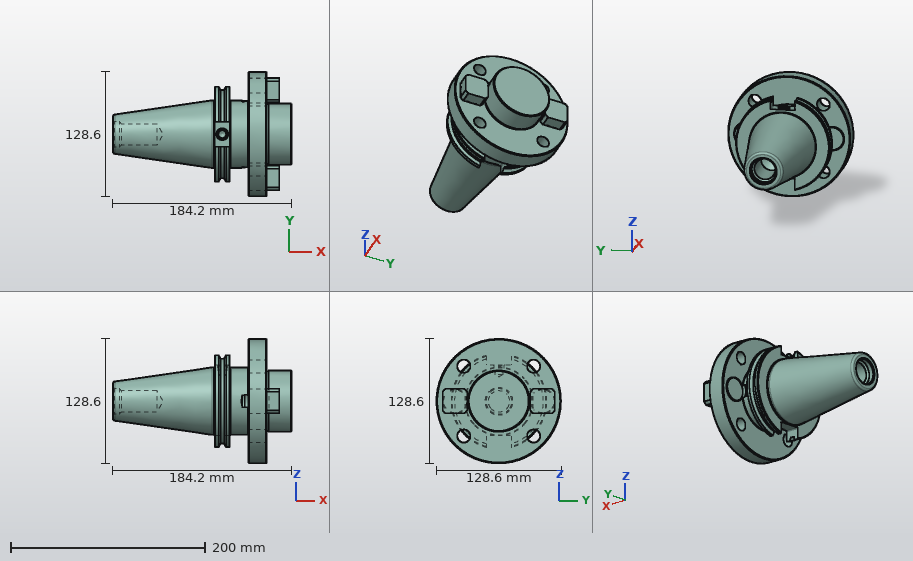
import cadquery as cq
import math


TAPER_LENGTH = 101.6
GAUGE_DIAMETER = 69.85
TAPER_RATIO = 7 / 24
COLLAR_START = TAPER_LENGTH + 3.175
COLLAR_END = TAPER_LENGTH + 19.05
FLANGE_START = TAPER_LENGTH + 38.1
FLANGE_THICKNESS = 19.05
FLANGE_END = FLANGE_START + FLANGE_THICKNESS
PILOT_LENGTH = 25.4
TOTAL_LENGTH = FLANGE_END + PILOT_LENGTH

SMALL_END_DIAMETER = GAUGE_DIAMETER - TAPER_LENGTH * TAPER_RATIO
SMALL_END_FILLET = 2.5
COLLAR_DIAMETER = 98.425
COLLAR_CHAMFER = 0.9
NECK_DIAMETER = GAUGE_DIAMETER
NECK_RELIEF_DIAMETER = 69.34
NECK_RELIEF_WIDTH = 0.9
COLLAR_ROOT_CHAMFER = 0.6
FLANGE_DIAMETER = 128.55
FLANGE_CHAMFER = 1.0
PILOT_DIAMETER = 63.5
PILOT_CHAMFER = 1.0
PILOT_RELIEF_DIAMETER = 61.98
PILOT_RELIEF_WIDTH = 1.6

GROOVE_FLOOR_DIAMETER = 91.3
GROOVE_FLOOR_WIDTH = 3.6
GROOVE_FLANK_ANGLE = 30.0
GROOVE_CENTRE = (COLLAR_START + COLLAR_END) / 2

DRAWBAR_MOUTH_DIAMETER = 28.6
DRAWBAR_PILOT_DIAMETER = 26.36
DRAWBAR_PILOT_DEPTH = 6.35
DRAWBAR_HOLE_DIAMETER = 21.97
DRAWBAR_HOLE_DEPTH = 45.0
DRILL_POINT_HALF_ANGLE = 59.0

SLOT_WIDTH = 25.7
TOP_SLOT_FLOOR = 37.7
BOTTOM_SLOT_FLOOR = 35.3
SLOT_ROOT_FILLET = 0.6

SLOT_HOLE_MOUTH_DIAMETER = 12.2
SLOT_HOLE_UPPER_DIAMETER = 10.13
SLOT_HOLE_UPPER_DEPTH = 5.2
SLOT_HOLE_DIAMETER = 8.0
SLOT_HOLE_DEPTH = 10.0

BOLT_HOLE_DIAMETER = 13.39
BOLT_CIRCLE_DIAMETER = 101.6
BOLT_COUNT = 4
BOLT_START_ANGLE = 45.0

KEY_OFFSET = 45.2
KEY_HEAD_SIDE = 25.4
KEY_HEAD_DIAMETER = 31.75
KEY_HEAD_HEIGHT = 12.7
KEY_SHANK_DIAMETER = 25.39
KEY_HOLE_DIAMETER = 25.4
KEY_HOLE_START = FLANGE_START - 3.6
KEY_PILOT_START = FLANGE_START - 6.4
KEY_PILOT_DIAMETER = 24.8
KEY_PILOT_HALF_ANGLE = 68.0
KEY_SHANK_CHAMFER = 0.8


def cone_height(diameter):
    return diameter / 2 / math.tan(math.radians(DRILL_POINT_HALF_ANGLE))


def revolve_about_x(points):
    return cq.Workplane("XY").polyline(points).close().revolve(360, (0, 0, 0), (1, 0, 0))


def turned_blank():
    small_end = SMALL_END_DIAMETER / 2
    gauge = GAUGE_DIAMETER / 2
    neck = NECK_DIAMETER / 2
    relief = NECK_RELIEF_DIAMETER / 2
    collar = COLLAR_DIAMETER / 2
    flange = FLANGE_DIAMETER / 2
    pilot = PILOT_DIAMETER / 2
    pilot_relief = PILOT_RELIEF_DIAMETER / 2
    pilot_start = FLANGE_END + PILOT_RELIEF_WIDTH
    blank = revolve_about_x([
        (0, 0),
        (0, small_end),
        (TAPER_LENGTH, gauge),
        (COLLAR_START - NECK_RELIEF_WIDTH, gauge),
        (COLLAR_START - NECK_RELIEF_WIDTH, relief),
        (COLLAR_START - COLLAR_ROOT_CHAMFER, relief),
        (COLLAR_START, relief + COLLAR_ROOT_CHAMFER),
        (COLLAR_START, collar - COLLAR_CHAMFER),
        (COLLAR_START + COLLAR_CHAMFER, collar),
        (COLLAR_END - COLLAR_CHAMFER, collar),
        (COLLAR_END, collar - COLLAR_CHAMFER),
        (COLLAR_END, relief + COLLAR_ROOT_CHAMFER),
        (COLLAR_END + COLLAR_ROOT_CHAMFER, relief),
        (COLLAR_END + NECK_RELIEF_WIDTH, relief),
        (COLLAR_END + NECK_RELIEF_WIDTH, neck),
        (FLANGE_START - NECK_RELIEF_WIDTH, neck),
        (FLANGE_START - NECK_RELIEF_WIDTH, relief),
        (FLANGE_START, relief),
        (FLANGE_START, flange - FLANGE_CHAMFER),
        (FLANGE_START + FLANGE_CHAMFER, flange),
        (FLANGE_END - FLANGE_CHAMFER, flange),
        (FLANGE_END, flange - FLANGE_CHAMFER),
        (FLANGE_END, pilot_relief),
        (pilot_start, pilot_relief),
        (pilot_start, pilot),
        (TOTAL_LENGTH - PILOT_CHAMFER, pilot),
        (TOTAL_LENGTH, pilot - PILOT_CHAMFER),
        (TOTAL_LENGTH, 0),
    ])
    return blank.faces("<X").edges().fillet(SMALL_END_FILLET)


def collar_groove():
    floor = GROOVE_FLOOR_DIAMETER / 2
    rim = COLLAR_DIAMETER / 2
    half_floor = GROOVE_FLOOR_WIDTH / 2
    half_rim = half_floor + (rim - floor) * math.tan(math.radians(GROOVE_FLANK_ANGLE))
    return revolve_about_x([
        (GROOVE_CENTRE - half_floor, floor),
        (GROOVE_CENTRE + half_floor, floor),
        (GROOVE_CENTRE + half_rim, rim),
        (GROOVE_CENTRE - half_rim, rim),
    ])


def drawbar_hole():
    mouth = DRAWBAR_MOUTH_DIAMETER / 2
    pilot = DRAWBAR_PILOT_DIAMETER / 2
    hole = DRAWBAR_HOLE_DIAMETER / 2
    return revolve_about_x([
        (0, 0),
        (0, mouth),
        (mouth - pilot, pilot),
        (DRAWBAR_PILOT_DEPTH, pilot),
        (DRAWBAR_PILOT_DEPTH + pilot - hole, hole),
        (DRAWBAR_HOLE_DEPTH, hole),
        (DRAWBAR_HOLE_DEPTH + cone_height(DRAWBAR_HOLE_DIAMETER), 0),
    ])


def drive_slot(floor, side):
    depth = COLLAR_DIAMETER / 2 - floor
    length = COLLAR_END - COLLAR_START
    root_face = "<Z" if side > 0 else ">Z"
    slot = cq.Workplane("XY").box(length, SLOT_WIDTH, depth)
    slot = slot.faces(root_face).edges("|X").fillet(SLOT_ROOT_FILLET)
    return slot.translate((GROOVE_CENTRE, 0, side * (floor + depth / 2)))


def slot_hole():
    mouth = SLOT_HOLE_MOUTH_DIAMETER / 2
    upper = SLOT_HOLE_UPPER_DIAMETER / 2
    hole = SLOT_HOLE_DIAMETER / 2
    profile = [
        (0, 0),
        (mouth, 0),
        (upper, upper - mouth),
        (upper, -SLOT_HOLE_UPPER_DEPTH),
        (hole, -SLOT_HOLE_UPPER_DEPTH),
        (hole, -SLOT_HOLE_DEPTH),
        (0, -SLOT_HOLE_DEPTH - cone_height(SLOT_HOLE_DIAMETER)),
    ]
    cutter = cq.Workplane("XZ").polyline(profile).close().revolve(360, (0, 0, 0), (0, 1, 0))
    return cutter.translate((GROOVE_CENTRE, 0, TOP_SLOT_FLOOR))


def bolt_holes():
    return (
        cq.Workplane("YZ", origin=(FLANGE_START, 0, 0))
        .polarArray(BOLT_CIRCLE_DIAMETER / 2, BOLT_START_ANGLE, 360, BOLT_COUNT)
        .circle(BOLT_HOLE_DIAMETER / 2)
        .extrude(FLANGE_THICKNESS)
    )


def key_hole(side):
    bore = KEY_HOLE_DIAMETER / 2
    pilot = KEY_PILOT_DIAMETER / 2
    point = pilot / math.tan(math.radians(KEY_PILOT_HALF_ANGLE))
    hole = revolve_about_x([
        (KEY_PILOT_START - point, 0),
        (KEY_PILOT_START, pilot),
        (KEY_HOLE_START, pilot),
        (KEY_HOLE_START, bore),
        (FLANGE_END, bore),
        (FLANGE_END, 0),
    ])
    return hole.translate((0, side * KEY_OFFSET, 0))


def make_holder():
    holder = turned_blank().cut(collar_groove()).cut(drawbar_hole())
    holder = holder.cut(drive_slot(TOP_SLOT_FLOOR, 1)).cut(drive_slot(BOTTOM_SLOT_FLOOR, -1))
    holder = holder.cut(slot_hole()).cut(bolt_holes())
    for side in (-1, 1):
        holder = holder.cut(key_hole(side))
    return holder


def make_drive_key(side):
    head = (
        cq.Workplane("YZ", origin=(FLANGE_END, side * KEY_OFFSET, 0))
        .rect(KEY_HEAD_SIDE, KEY_HEAD_SIDE)
        .extrude(KEY_HEAD_HEIGHT)
    )
    round_blank = (
        cq.Workplane("YZ", origin=(FLANGE_END, side * KEY_OFFSET, 0))
        .circle(KEY_HEAD_DIAMETER / 2)
        .extrude(KEY_HEAD_HEIGHT)
    )
    shank = (
        cq.Workplane("YZ", origin=(FLANGE_START, side * KEY_OFFSET, 0))
        .circle(KEY_SHANK_DIAMETER / 2)
        .extrude(FLANGE_THICKNESS)
        .faces("<X")
        .chamfer(KEY_SHANK_CHAMFER)
    )
    return head.intersect(round_blank).union(shank)


holder = make_holder()
drive_keys = [make_drive_key(side) for side in (-1, 1)]

result = cq.Compound.makeCompound([holder.val(), *[key.val() for key in drive_keys]])